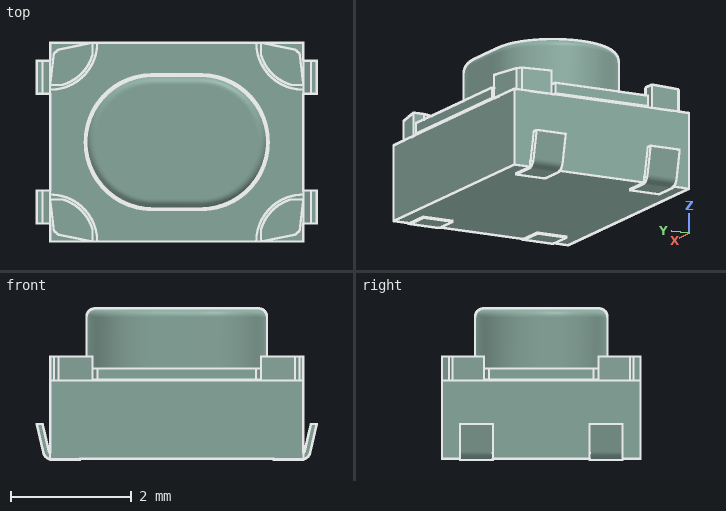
import cadquery as cq
import math

total_length = 4.65
block_length = 4.2
block_width = 3.3
block_height = 1.3

button_length = 3.0
button_width = 2.2
button_top = 2.5
button_rounding = 0.15

plate_gap = 0.02
plate_top = 1.5
button_clearance = 0.03
corner_clearance = 0.05

post_top = 1.7
post_side = 0.7
post_radius = 0.73
post_corner_in_x = (0.06, 0.18)
post_corner_in_y = (0.135, 0.115)

terminal_width = 0.55
terminal_thickness = 0.098
terminal_drop = 0.02
terminal_spacing = 2.155
terminal_foot = 0.495
terminal_bend_radius = 0.167
terminal_tilt = 13.0
terminal_tip_height = 0.6


def stadium_prism(length, width, bottom, top):
    """Upright prism with a straight-sided, round-ended outline along X."""
    return cq.Workplane("XY").workplane(offset=bottom).slot2D(length, width).extrude(top - bottom)


def in_all_corners(shape):
    """Mirror a shape made for the +X +Y corner into all four corners."""
    pair = shape.union(shape.mirror("YZ"))
    return pair.union(pair.mirror("XZ"))


def corner_cylinder(radius, bottom, top):
    """Upright cylinder centred on the +X +Y corner of the block."""
    return (
        cq.Workplane("XY", origin=(block_length / 2, block_width / 2, bottom))
        .circle(radius)
        .extrude(top - bottom)
    )


def make_button():
    button = stadium_prism(button_length, button_width, block_height, button_top)
    return button.faces(">Z").edges().fillet(button_rounding)


def make_posts():
    """Four posts with tapered outer sides and a rounded inner side."""
    outline = [
        (-post_side, 0),
        (-post_corner_in_y[0], -post_corner_in_y[1]),
        (-post_corner_in_x[0], -post_corner_in_x[1]),
        (0, -post_side),
        (-post_side, -post_side),
    ]
    post = (
        cq.Workplane("XY", origin=(block_length / 2, block_width / 2, block_height))
        .polyline(outline)
        .close()
        .extrude(post_top - block_height)
    )
    return in_all_corners(post.intersect(corner_cylinder(post_radius, block_height, post_top)))


def make_terminals():
    """Four bent strips; the tilted leg leans outward and ends in a level tip."""
    tilt = math.radians(terminal_tilt)
    outward = (math.sin(tilt), math.cos(tilt))
    normal = (math.cos(tilt), -math.sin(tilt))
    inner_radius = terminal_bend_radius - terminal_thickness
    bend_z = terminal_bend_radius - terminal_drop

    def leg_length(radius):
        return (terminal_tip_height - terminal_drop - bend_z - radius * normal[1]) / outward[1]

    outer_leg = leg_length(terminal_bend_radius)
    bend_x = total_length / 2 - outer_leg * outward[0] - terminal_bend_radius * normal[0]
    foot_x = block_length / 2 - terminal_foot

    def on_leg(radius, distance):
        return (
            bend_x + radius * normal[0] + distance * outward[0],
            bend_z + radius * normal[1] + distance * outward[1],
        )

    def on_bend(radius):
        half_turn = (math.pi / 2 - tilt) / 2
        return (bend_x + radius * math.sin(half_turn), bend_z - radius * math.cos(half_turn))

    strip = (
        cq.Workplane("XZ", origin=(0, (terminal_spacing + terminal_width) / 2, 0))
        .moveTo(foot_x, -terminal_drop)
        .lineTo(bend_x, -terminal_drop)
        .threePointArc(on_bend(terminal_bend_radius), on_leg(terminal_bend_radius, 0))
        .lineTo(*on_leg(terminal_bend_radius, outer_leg))
        .lineTo(*on_leg(inner_radius, leg_length(inner_radius)))
        .lineTo(*on_leg(inner_radius, 0))
        .threePointArc(on_bend(inner_radius), (bend_x, bend_z - inner_radius))
        .lineTo(foot_x, terminal_thickness - terminal_drop)
        .close()
        .extrude(terminal_width)
    )
    return in_all_corners(strip)


def make_housing():
    """Block with its button, corner posts and terminals, all in one solid."""
    block = cq.Workplane("XY").box(block_length, block_width, block_height, centered=(True, True, False))
    return block.union(make_button()).union(make_posts()).union(make_terminals())


def make_cover_plate():
    """Plate with an opening for the button and a round notch at each post."""
    bottom = block_height + plate_gap
    thickness = plate_top - bottom
    plate = (
        cq.Workplane("XY", origin=(0, 0, bottom))
        .box(block_length, block_width, thickness, centered=(True, True, False))
    )
    opening = stadium_prism(
        button_length + 2 * button_clearance, button_width + 2 * button_clearance, bottom, plate_top
    )
    notches = in_all_corners(corner_cylinder(post_radius + corner_clearance, bottom, plate_top))
    return plate.cut(opening).cut(notches)


housing = make_housing()
cover_plate = make_cover_plate()

result = cq.Compound.makeCompound([*housing.solids().vals(), *cover_plate.solids().vals()])